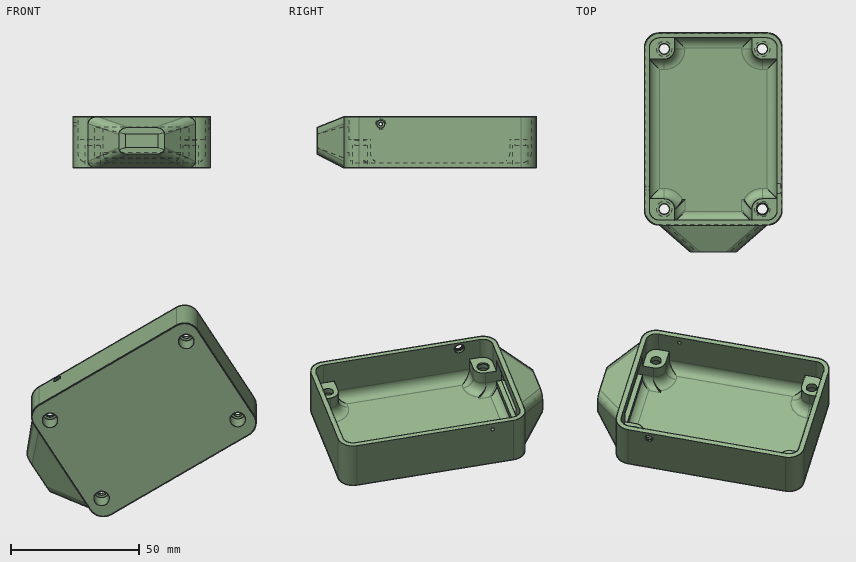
import cadquery as cq
import math

WIDTH = 53.8
TOTAL_LENGTH = 85.5
HEIGHT = 20.0
NOSE_LENGTH = 10.4
BODY_LENGTH = TOTAL_LENGTH - NOSE_LENGTH
WALL = 2.0
FLOOR = 2.0
OUTER_CORNER_RADIUS = 6.0
INNER_CORNER_RADIUS = OUTER_CORNER_RADIUS - WALL
BASE_CHAMFER = 0.25
COVE_RADIUS = 4.0

BOSS_RADIUS = 4.0
BOSS_TOP = HEIGHT - 9.0
SCREW_INSET_X = 7.8
SCREW_INSET_Y = 6.3
SCREW_DIAMETER = 4.0
SCREW_COUNTERBORE = 6.0
SCREW_SEAT = 2.2
SCREW_CHAMFER = 0.3

CLEARANCE_WALL = 1.3
FOOT_LENGTH = 6.0

NOSE_BASE_WIDTH = WIDTH - 2 * OUTER_CORNER_RADIUS
NOSE_TIP_WIDTH = 17.9
NOSE_TIP_HEIGHT = 10.4
NOSE_TIP_Z = 10.6
NOSE_EDGE_RADIUS = 3.5
HOLLOW_TIP_INSET = 2.6
HOLLOW_BASE_INSET_X = 2.6
HOLLOW_BASE_INSET_Z = 3.9

VENT_DIAMETER = 1.4
PORT_DIAMETER = 3.1
PORT_COUNTERBORE = 4.0
PORT_COUNTERBORE_DEPTH = 1.2
SIDE_HOLE_FROM_FRONT = 14.4
SIDE_HOLE_BELOW_RIM = 2.9

half_width = WIDTH / 2
half_length = BODY_LENGTH / 2
inner_half_width = half_width - WALL
inner_half_length = half_length - WALL
screw_x = half_width - SCREW_INSET_X
screw_y = half_length - SCREW_INSET_Y
boss_side_x = screw_x - BOSS_RADIUS
boss_side_y = screw_y - BOSS_RADIUS
foot_bottom = FLOOR / 2
foot_start_y = WALL / 2 - half_length
foot_end_y = FOOT_LENGTH - half_length


def box(x_range, y_range, z_range):
    """Axis-aligned box between pairs of limits."""
    x0, x1 = x_range
    y0, y1 = y_range
    z0, z1 = z_range
    block = cq.Workplane("XY").box(x1 - x0, y1 - y0, z1 - z0, centered=False)
    return block.translate((x0, y0, z0))


def make_body():
    body = cq.Workplane("XY").box(WIDTH, BODY_LENGTH, HEIGHT, centered=(True, True, False))
    return body.edges("|Z").fillet(OUTER_CORNER_RADIUS).faces("<Z").chamfer(BASE_CHAMFER)


def make_inner_prism(bottom):
    """Rounded rectangle of the inner wall, from a given level up to the rim."""
    prism = (
        cq.Workplane("XY", origin=(0, 0, bottom))
        .rect(2 * inner_half_width, 2 * inner_half_length)
        .extrude(HEIGHT - bottom)
    )
    return prism.edges("|Z").fillet(INNER_CORNER_RADIUS)


def make_boss(x_sign, y_sign):
    """Corner block whose free corner is rounded about the screw axis."""
    x_limits = sorted((x_sign * boss_side_x, x_sign * half_width))
    y_limits = sorted((y_sign * boss_side_y, y_sign * half_length))
    free_side_x = "<X" if x_sign > 0 else ">X"
    free_side_y = "<Y" if y_sign > 0 else ">Y"
    block = box(x_limits, y_limits, (0, BOSS_TOP))
    return block.edges("|Z").edges(free_side_x).edges(free_side_y).fillet(BOSS_RADIUS)


def make_cavity():
    """Pocket around the four bosses, with a cove along the whole floor edge."""
    cavity = box(
        (-inner_half_width, inner_half_width),
        (-inner_half_length, inner_half_length),
        (FLOOR, BOSS_TOP),
    )
    for x_sign in (-1, 1):
        for y_sign in (-1, 1):
            cavity = cavity.cut(make_boss(x_sign, y_sign))
    cavity = cavity.faces("<Z").edges().fillet(COVE_RADIUS)
    return cavity.union(make_inner_prism(BOSS_TOP))


def make_front_clearance():
    """Coved box between the front bosses that thins the cove of the front wall."""
    clearance = box(
        (-boss_side_x, boss_side_x),
        (CLEARANCE_WALL - half_length, 0),
        (FLOOR, BOSS_TOP),
    )
    clearance = clearance.faces("<Z").edges().fillet(COVE_RADIUS)
    return clearance.intersect(make_inner_prism(FLOOR))


def make_cove_strip(plane, wall_start, wall_face, reach):
    """Wall foot ending in a cove, extruded both ways from its plane."""
    toe = wall_face + COVE_RADIUS
    top = FLOOR + COVE_RADIUS
    arc_inset = COVE_RADIUS * (1 - math.sqrt(0.5))
    return (
        cq.Workplane(plane)
        .moveTo(wall_start, foot_bottom)
        .lineTo(toe, foot_bottom)
        .lineTo(toe, FLOOR)
        .threePointArc((wall_face + arc_inset, FLOOR + arc_inset), (wall_face, top))
        .lineTo(wall_start, top)
        .close()
        .extrude(reach, both=True)
    )


def make_left_foot():
    """Square-cornered coved foot of the left front boss, rooted in the wall and floor."""
    side_cove = make_cove_strip("XZ", -screw_x, -boss_side_x, half_length)
    end_cove = make_cove_strip("YZ", foot_start_y, foot_end_y, half_width)
    return side_cove.intersect(end_cove)


def make_taper(base_width, base_height, tip_inset):
    """Rectangular taper from the front wall to the nose tip, with a tip shrunk by an inset."""
    return (
        cq.Workplane("XZ", origin=(0, -half_length, HEIGHT / 2))
        .rect(base_width, base_height)
        .workplane(offset=NOSE_LENGTH)
        .center(0, NOSE_TIP_Z - HEIGHT / 2)
        .rect(NOSE_TIP_WIDTH - 2 * tip_inset, NOSE_TIP_HEIGHT - 2 * tip_inset)
        .loft(ruled=True)
    )


def make_nose():
    taper = make_taper(NOSE_BASE_WIDTH, HEIGHT, 0)
    slanted_edges = taper.edges("not(#Y)").edges("not(|X)").edges("not(|Z)")
    return slanted_edges.fillet(NOSE_EDGE_RADIUS)


def make_nose_passage():
    """Tapered hollow of the nose and the window that joins it to the cavity."""
    hollow = make_taper(
        NOSE_BASE_WIDTH - 2 * HOLLOW_BASE_INSET_X,
        HEIGHT - 2 * HOLLOW_BASE_INSET_Z,
        HOLLOW_TIP_INSET,
    )
    window = box(
        (-boss_side_x, boss_side_x),
        (-half_length, -inner_half_length),
        (FLOOR + COVE_RADIUS, HEIGHT - HOLLOW_BASE_INSET_Z),
    )
    return hollow.union(window)


def make_side_holes():
    axis = cq.Workplane("YZ", origin=(0, SIDE_HOLE_FROM_FRONT - half_length, HEIGHT - SIDE_HOLE_BELOW_RIM))
    vent = axis.circle(VENT_DIAMETER / 2).extrude(-half_width)
    port = axis.circle(PORT_DIAMETER / 2).extrude(half_width)
    counterbore = axis.circle(PORT_COUNTERBORE / 2).extrude(inner_half_width + PORT_COUNTERBORE_DEPTH)
    return vent.union(port).union(counterbore)


def make_screw_holes():
    """Through holes with head counterbores sunk from below."""
    corners = [(x, y) for x in (-screw_x, screw_x) for y in (-screw_y, screw_y)]
    points = cq.Workplane("XY").pushPoints(corners)
    shanks = points.circle(SCREW_DIAMETER / 2).extrude(BOSS_TOP)
    heads = points.circle(SCREW_COUNTERBORE / 2).extrude(BOSS_TOP - SCREW_SEAT)
    return shanks.union(heads)


def make_screw_chamfer():
    """Countersink at the mouth of the right front screw hole."""
    hole_radius = SCREW_DIAMETER / 2
    cone = cq.Solid.makeCone(hole_radius, hole_radius + SCREW_CHAMFER, SCREW_CHAMFER)
    return cq.Workplane(cone).translate((screw_x, -screw_y, BOSS_TOP - SCREW_CHAMFER))


left_foot = make_left_foot()
result = (
    make_body()
    .cut(make_cavity())
    .cut(make_front_clearance())
    .union(left_foot)
    .union(left_foot.mirror("YZ"))
    .cut(make_side_holes())
    .cut(make_screw_holes())
    .cut(make_screw_chamfer())
    .union(make_nose())
    .cut(make_nose_passage())
)